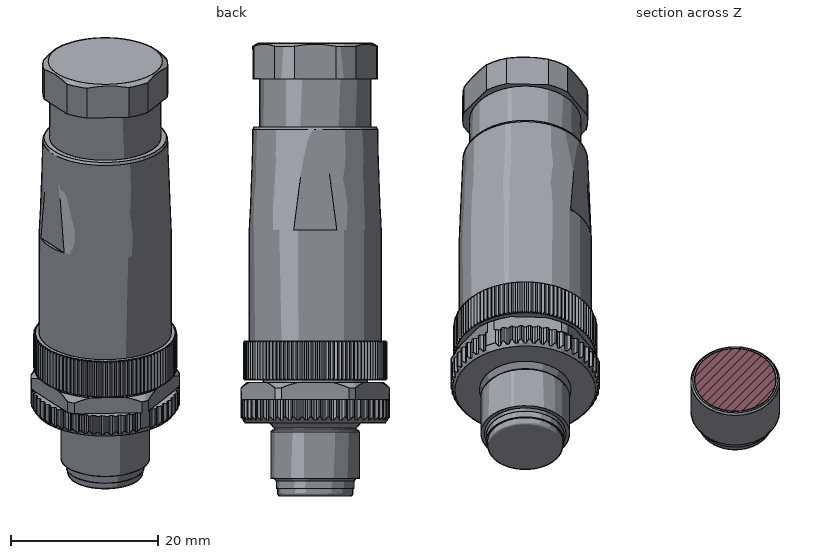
import cadquery as cq
import math

TOTAL_HEIGHT = 61.6
CAP_BOTTOM = 56.75
SLEEVE_TOP = 50.2
SLEEVE_BOTTOM = 36.15
GRIP_TOP = 21.1
GRIP_BOTTOM = 15.8
NUT_TOP = 15.45
NUT_CHAMFER_BOTTOM = 14.7
RING_TOP = 13.1
RING_CHAMFER_TOP = 10.8
RING_BOTTOM = 10.0
NECK_TOP = 9.25
BARREL_TOP = 9.0
BARREL_BOTTOM = 2.4
TIP_TOP = 2.05
TIP_STEP = 1.05

CAP_RADIUS = 8.5
STEM_RADIUS = 7.6
SLEEVE_TOP_RADIUS = 8.5
BODY_RADIUS = 9.0
GRIP_RADIUS = 9.75
GAP_RADIUS = 7.1
NUT_RADIUS = 10.1
RING_BOTTOM_RADIUS = 9.55
COLLAR_RADIUS = 6.2
NECK_RADIUS = 5.55
BARREL_RADIUS = 6.05
TIP_RADIUS = 5.3
TIP_END_RADIUS = 5.1

CAP_FLAT = 8.0
SLEEVE_FLAT = 8.5
NUT_FLAT = 9.0

GRIP_TEETH = 100
GRIP_DEPTH = 0.25
RING_TEETH = 52
RING_DEPTH = 0.3
RING_TIP_WIDTH = 0.25
RING_BASE_WIDTH = 0.85
RING_FILLING_WIDTH = 1.0

NUT_CHAMFER_WIDTH = 0.8
CAP_CHAMFER_WIDTH = 0.75
CAP_CHAMFER_HEIGHT = 0.45
SLEEVE_EDGE_WIDTH = 0.2
SLEEVE_EDGE_HEIGHT = 0.4
GRIP_CHAMFER = 0.2
BARREL_CHAMFER = 0.25
TIP_FILLET = 0.4


def polar(radius, angle):
    return (radius * math.cos(angle), radius * math.sin(angle))


def turned(*profile):
    """Revolve an outer profile of (radius, height) points about the Z axis."""
    bottom = profile[0][1]
    top = profile[-1][1]
    points = [(0, bottom), *profile, (0, top)]
    return cq.Workplane("XZ").polyline(points).close().revolve(360, (0, 0), (0, 1))


def hexagon(flat_distance, bottom, top):
    """Hexagonal prism with two flats facing -Y and +Y."""
    corner_diameter = 2 * flat_distance / math.cos(math.pi / 6)
    return cq.Workplane().workplane(offset=bottom).polygon(6, corner_diameter).extrude(top - bottom)


def toothed(radius, depth, teeth, tip_width, base_width, bottom, top):
    """Prism with evenly spaced straight teeth; the middle of a tooth space faces +X."""
    root = radius - depth
    pitch = 2 * math.pi / teeth
    half_tip = tip_width / 2 / radius
    half_base = base_width / 2 / root
    points = []
    for index in range(teeth):
        middle = (index + 0.5) * pitch
        points += [
            polar(root, middle - half_base),
            polar(radius, middle - half_tip),
            polar(radius, middle + half_tip),
            polar(root, middle + half_base),
        ]
    return cq.Workplane().workplane(offset=bottom).polyline(points).close().extrude(top - bottom)


def serrated(radius, depth, teeth, bottom, top):
    """Prism with sharp V-shaped serrations; a crest faces +X."""
    half_pitch = math.pi / teeth
    points = []
    for index in range(teeth):
        crest = 2 * index * half_pitch
        points += [polar(radius, crest), polar(radius - depth, crest + half_pitch)]
    return cq.Workplane().workplane(offset=bottom).polyline(points).close().extrude(top - bottom)


def make_cap():
    blank = turned(
        (CAP_RADIUS, CAP_BOTTOM),
        (CAP_RADIUS, TOTAL_HEIGHT - CAP_CHAMFER_HEIGHT),
        (CAP_RADIUS - CAP_CHAMFER_WIDTH, TOTAL_HEIGHT),
    )
    return blank.intersect(hexagon(CAP_FLAT, CAP_BOTTOM, TOTAL_HEIGHT))


def make_sleeve():
    """Tapered sleeve with a flat on the -Y and +Y sides."""
    cone = turned(
        (BODY_RADIUS, SLEEVE_BOTTOM),
        (SLEEVE_TOP_RADIUS, SLEEVE_TOP - SLEEVE_EDGE_HEIGHT),
        (SLEEVE_TOP_RADIUS - SLEEVE_EDGE_WIDTH, SLEEVE_TOP),
    )
    height = SLEEVE_TOP - SLEEVE_BOTTOM
    slab = (
        cq.Workplane()
        .workplane(offset=SLEEVE_BOTTOM)
        .rect(3 * BODY_RADIUS, 2 * SLEEVE_FLAT)
        .extrude(height)
    )
    return cone.intersect(slab)


def make_grip():
    blank = turned(
        (GRIP_RADIUS - GRIP_CHAMFER, GRIP_BOTTOM),
        (GRIP_RADIUS, GRIP_BOTTOM + GRIP_CHAMFER),
        (GRIP_RADIUS, GRIP_TOP - GRIP_CHAMFER),
        (GRIP_RADIUS - GRIP_CHAMFER, GRIP_TOP),
    )
    prism = serrated(GRIP_RADIUS, GRIP_DEPTH, GRIP_TEETH, GRIP_BOTTOM, GRIP_TOP)
    return blank.intersect(prism)


def make_nut():
    """Hexagon with its corners rounded and chamfered at the top."""
    blank = turned(
        (NUT_RADIUS, RING_TOP),
        (NUT_RADIUS, NUT_CHAMFER_BOTTOM),
        (NUT_RADIUS - NUT_CHAMFER_WIDTH, NUT_TOP),
    )
    return blank.intersect(hexagon(NUT_FLAT, RING_TOP, NUT_TOP))


def make_ring():
    """Toothed ring; the tooth spaces facing -X and +X are filled in line with the nut corners."""
    blank = turned(
        (RING_BOTTOM_RADIUS, RING_BOTTOM),
        (NUT_RADIUS, RING_CHAMFER_TOP),
        (NUT_RADIUS, RING_TOP),
    )
    teeth = toothed(
        NUT_RADIUS, RING_DEPTH, RING_TEETH, RING_TIP_WIDTH, RING_BASE_WIDTH, RING_BOTTOM, RING_TOP
    )
    filling = (
        cq.Workplane()
        .workplane(offset=RING_BOTTOM)
        .rect(2 * NUT_RADIUS, RING_FILLING_WIDTH)
        .extrude(RING_TOP - RING_BOTTOM)
    )
    return blank.intersect(teeth.union(filling))


def make_plug():
    plug = turned(
        (TIP_END_RADIUS, 0),
        (TIP_END_RADIUS, TIP_STEP),
        (TIP_RADIUS, TIP_STEP),
        (TIP_RADIUS, TIP_TOP),
        (NECK_RADIUS, BARREL_BOTTOM),
        (BARREL_RADIUS, BARREL_BOTTOM),
        (BARREL_RADIUS, BARREL_TOP - BARREL_CHAMFER),
        (BARREL_RADIUS - BARREL_CHAMFER, BARREL_TOP),
        (NECK_RADIUS, BARREL_TOP),
        (NECK_RADIUS, NECK_TOP),
        (COLLAR_RADIUS, RING_BOTTOM),
    )
    return plug.faces("<Z").edges().fillet(TIP_FILLET)


stem = turned((STEM_RADIUS, SLEEVE_TOP), (STEM_RADIUS, CAP_BOTTOM))
body = turned((BODY_RADIUS, GRIP_TOP), (BODY_RADIUS, SLEEVE_BOTTOM))
gap = turned((GAP_RADIUS, NUT_TOP), (GAP_RADIUS, GRIP_BOTTOM))

result = make_plug()
for section in (make_ring(), make_nut(), gap, make_grip(), body, make_sleeve(), stem, make_cap()):
    result = result.union(section)